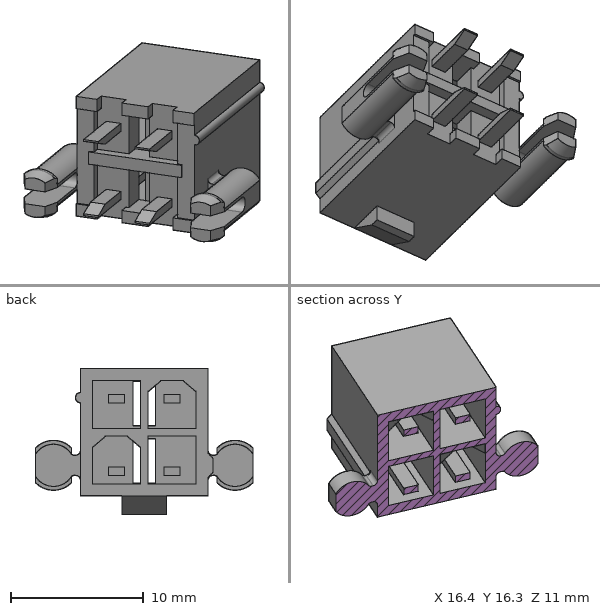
import cadquery as cq
import math

OVERALL_WIDTH = 16.38

HOUSING_WIDTH = 9.62
HOUSING_HEIGHT = 9.6
HOUSING_LENGTH = 12.76
HALF_WIDTH = HOUSING_WIDTH / 2
HALF_HEIGHT = HOUSING_HEIGHT / 2
PITCH = 4.2

SIDE_RECESS = 0.16
CHANNEL_DEPTH = 0.8
PAD_HEIGHT = 0.98
CHANNEL_OUTER_X = 3.4
CHANNEL_INNER_X = 0.84
CORNER_PAD_INNER_X = 3.1
MIDDLE_PAD_HALF_WIDTH = 1.08
BAR_WIDTH = 7.57
RECESS_HEIGHT = HOUSING_HEIGHT - 2 * PAD_HEIGHT

CAVITY_FLOOR_Y = 2.7
DIVIDER = 0.57
CAVITY_SIZE = PITCH - DIVIDER
KEY_WIDTH = 1.02
KEY_HEIGHT = 0.87
KEY_START_Y = 3.37

PIN_WIDTH = 1.2
PIN_THICKNESS = 0.64
PIN_ROW_SPACING = 5.45
PIN_ROWS_CENTRE_Z = -0.21
PIN_REACH = 3.54
PIN_TAPER_LENGTH = 1.31
PIN_TIP_THICKNESS = 0.15
PIN_SETBACK = 2.7
PIN_INNER_END_Y = HOUSING_LENGTH - PIN_SETBACK

RIB_PROTRUSION = 0.38
LEFT_RIB_BASE = 1.8
ROUND_RIB_HALF_BASE = 0.4
ROUND_RIB_Z = 2.6

PEG_WIDTH = 2.72
PEG_X = (OVERALL_WIDTH - PEG_WIDTH) / 2
PEG_Z = -2.49
PEG_START_Y = 4.78
SHAFT_RADIUS = 1.59
HEAD_RADIUS = 1.88
HEAD_TIP_RADIUS = 1.57
HEAD_START_Y = -2.06
HEAD_TAPER_Y = -2.35
HEAD_TIP_Y = -3.33
HEAD_TAPER_OUTER = 0.62
HEAD_TAPER_INNER = 0.48
PEG_SLOT_WIDTH = 1.18
PEG_SLOT_END_Y = 1.92

WEB_END_Y = 2.7
WEB_FILLET = 0.36
WEB_SHAFT_HALF_HEIGHT = 0.88
WEB_WAIST_HALF_HEIGHT = 0.77

LATCH_WIDTH = 3.37
LATCH_LENGTH = 3.06
LATCH_FLAT = 0.69
LATCH_DEPTH = 1.41


def block(x_range, y_range, z_range):
    """Box spanning the given (low, high) ranges."""
    size = [high - low for low, high in (x_range, y_range, z_range)]
    corner = (x_range[0], y_range[0], z_range[0])
    return cq.Workplane("XY").box(*size, centered=False).translate(corner)


def along_y(sketch_origin_y, x=0.0, z=0.0):
    """Workplane with local axes X and Z whose positive extrusion runs toward -Y."""
    return cq.Workplane("XZ", origin=(x, sketch_origin_y, z))


def mirrored_pair(left_part):
    """The part together with its mirror image across X = 0."""
    return left_part.union(left_part.mirror("YZ"))


def cavity(x, z, keyed):
    """Square mating cavity open at the far end; a keyed one keeps both upper corners filled."""
    half = CAVITY_SIZE / 2
    opening = (
        along_y(HOUSING_LENGTH, x, z)
        .rect(CAVITY_SIZE, CAVITY_SIZE)
        .extrude(HOUSING_LENGTH - CAVITY_FLOOR_Y)
    )
    if keyed:
        key = (
            along_y(HOUSING_LENGTH)
            .moveTo(-half, half)
            .lineTo(KEY_WIDTH - half, half)
            .lineTo(-half, half - KEY_HEIGHT)
            .close()
            .extrude(HOUSING_LENGTH - KEY_START_Y)
        )
        opening = opening.cut(mirrored_pair(key).translate((x, 0, z)))
    return opening


def housing():
    """Housing body with its pin-side relief, windows and mating cavities."""
    full_height = (-HALF_HEIGHT, HALF_HEIGHT)
    recess_z = (-RECESS_HEIGHT / 2, RECESS_HEIGHT / 2)
    body = block((-HALF_WIDTH, HALF_WIDTH), (0, HOUSING_LENGTH), full_height)

    body = body.cut(block((-HALF_WIDTH, HALF_WIDTH), (0, SIDE_RECESS), recess_z))
    channels = block((-CHANNEL_OUTER_X, CHANNEL_OUTER_X), (0, CHANNEL_DEPTH), recess_z)
    notch = block((-CORNER_PAD_INNER_X, -MIDDLE_PAD_HALF_WIDTH), (0, CHANNEL_DEPTH), full_height)
    window = block((-CHANNEL_INNER_X, CHANNEL_INNER_X), (0, CAVITY_FLOOR_Y), recess_z)
    body = body.cut(channels).cut(mirrored_pair(notch)).cut(window)

    bar_z = (-PAD_HEIGHT / 2, PAD_HEIGHT / 2)
    body = body.union(block((-BAR_WIDTH / 2, BAR_WIDTH / 2), (0, CAVITY_FLOOR_Y), bar_z))

    for x_side in (-1, 1):
        for z_side in (-1, 1):
            keyed = x_side != z_side
            body = body.cut(cavity(x_side * PITCH / 2, z_side * PITCH / 2, keyed))
    return body


def pin(x, z_side):
    """Flat contact pin whose tip tapers on the side facing the other row."""
    outer_z = PIN_THICKNESS / 2
    side_profile = (
        cq.Workplane("YZ")
        .moveTo(PIN_INNER_END_Y, outer_z)
        .lineTo(-PIN_REACH, outer_z)
        .lineTo(-PIN_REACH, outer_z - PIN_TIP_THICKNESS)
        .lineTo(PIN_TAPER_LENGTH - PIN_REACH, -outer_z)
        .lineTo(PIN_INNER_END_Y, -outer_z)
        .close()
        .extrude(PIN_WIDTH / 2, both=True)
    )
    if z_side < 0:
        side_profile = side_profile.mirror("XY")
    row_z = PIN_ROWS_CENTRE_Z + z_side * PIN_ROW_SPACING / 2
    return side_profile.translate((x, 0, row_z))


def left_rib():
    """Trapezoidal keying rib on the -X wall, ending at the peg web."""
    half_base = LEFT_RIB_BASE / 2
    half_top = half_base - RIB_PROTRUSION
    return (
        along_y(HOUSING_LENGTH, -HALF_WIDTH, PEG_Z)
        .moveTo(0, half_base)
        .lineTo(-RIB_PROTRUSION, half_top)
        .lineTo(-RIB_PROTRUSION, -half_top)
        .lineTo(0, -half_base)
        .close()
        .extrude(HOUSING_LENGTH - PEG_START_Y)
    )


def right_rib():
    """Rounded keying rib on the +X wall, running the length of the housing."""
    return (
        along_y(HOUSING_LENGTH, HALF_WIDTH, ROUND_RIB_Z)
        .moveTo(0, -ROUND_RIB_HALF_BASE)
        .threePointArc((RIB_PROTRUSION, 0), (0, ROUND_RIB_HALF_BASE))
        .close()
        .extrude(HOUSING_LENGTH - SIDE_RECESS)
    )


def left_peg():
    """Split peg with flat sides and an enlarged tapered head."""
    turned = (
        cq.Workplane("XY")
        .moveTo(0, PEG_START_Y)
        .lineTo(SHAFT_RADIUS, PEG_START_Y)
        .lineTo(SHAFT_RADIUS, HEAD_START_Y)
        .lineTo(HEAD_RADIUS, HEAD_START_Y)
        .lineTo(HEAD_RADIUS, HEAD_TAPER_Y)
        .lineTo(HEAD_TIP_RADIUS, HEAD_TIP_Y)
        .lineTo(0, HEAD_TIP_Y)
        .close()
        .revolve(360, (0, 0, 0), (0, 1, 0))
    )
    half = PEG_WIDTH / 2
    side_limits = (
        cq.Workplane("XY")
        .moveTo(-half, PEG_START_Y)
        .lineTo(-half, HEAD_START_Y)
        .lineTo(HEAD_TAPER_OUTER - half, HEAD_TIP_Y)
        .lineTo(half - HEAD_TAPER_INNER, HEAD_TIP_Y)
        .lineTo(half, HEAD_START_Y)
        .lineTo(half, PEG_START_Y)
        .close()
        .extrude(HEAD_RADIUS, both=True)
    )
    slot_half = PEG_SLOT_WIDTH / 2
    slot_arc_y = PEG_SLOT_END_Y - slot_half
    slot = (
        cq.Workplane("YZ")
        .moveTo(HEAD_TIP_Y, -slot_half)
        .lineTo(slot_arc_y, -slot_half)
        .threePointArc((PEG_SLOT_END_Y, 0), (slot_arc_y, slot_half))
        .lineTo(HEAD_TIP_Y, slot_half)
        .close()
        .extrude(half, both=True)
    )
    return turned.intersect(side_limits).cut(slot).translate((-PEG_X, 0, PEG_Z))


def left_web():
    """Waisted web: filleted into the housing wall and flaring slightly at the peg shaft."""
    shaft_x = -PEG_X + math.sqrt(SHAFT_RADIUS**2 - WEB_SHAFT_HALF_HEIGHT**2)
    waist_x = -HALF_WIDTH - WEB_FILLET
    upper_half = (
        along_y(PEG_START_Y, z=PEG_Z)
        .moveTo(-PEG_X, 0)
        .lineTo(-PEG_X, WEB_SHAFT_HALF_HEIGHT)
        .lineTo(shaft_x, WEB_SHAFT_HALF_HEIGHT)
        .radiusArc((waist_x, WEB_WAIST_HALF_HEIGHT), -WEB_FILLET)
        .radiusArc((-HALF_WIDTH, WEB_WAIST_HALF_HEIGHT + WEB_FILLET), -WEB_FILLET)
        .lineTo(-HALF_WIDTH, 0)
        .close()
        .extrude(PEG_START_Y - WEB_END_Y)
    )
    lower_half = upper_half.translate((0, 0, -PEG_Z)).mirror("XY").translate((0, 0, PEG_Z))
    return upper_half.union(lower_half)


def latch():
    """Ramp under the mating end that the plug's latch hooks over."""
    ramp_foot_y = HOUSING_LENGTH - LATCH_LENGTH
    bottom_z = -HALF_HEIGHT - LATCH_DEPTH
    return (
        cq.Workplane("YZ")
        .moveTo(HOUSING_LENGTH, -HALF_HEIGHT)
        .lineTo(ramp_foot_y + LATCH_FLAT, bottom_z)
        .lineTo(ramp_foot_y, bottom_z)
        .lineTo(ramp_foot_y, -HALF_HEIGHT)
        .close()
        .extrude(LATCH_WIDTH / 2, both=True)
    )


result = housing().union(latch()).union(left_rib()).union(right_rib())
result = result.union(mirrored_pair(left_peg().union(left_web())))
for pin_x in (-PITCH / 2, PITCH / 2):
    for row_side in (-1, 1):
        result = result.union(pin(pin_x, row_side))